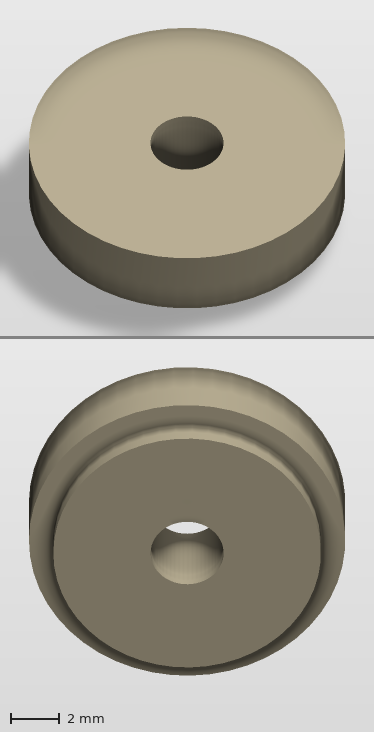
import cadquery as cq

disc_diameter = 13.0
disc_height = 3.0
spigot_diameter = 11.0
spigot_height = 1.0
bore_diameter = 3.0
root_fillet_radius = 0.1

total_height = spigot_height + disc_height

spigot = cq.Workplane("XY").circle(spigot_diameter / 2).extrude(spigot_height)
disc = (
    cq.Workplane("XY")
    .workplane(offset=spigot_height)
    .circle(disc_diameter / 2)
    .extrude(disc_height)
)
body = spigot.union(disc)

root_edge = cq.selectors.RadiusNthSelector(0)
body = body.edges(cq.selectors.BoxSelector(
    (-disc_diameter, -disc_diameter, spigot_height - root_fillet_radius),
    (disc_diameter, disc_diameter, spigot_height + root_fillet_radius),
)).edges(root_edge).fillet(root_fillet_radius)

bore = cq.Workplane("XY").circle(bore_diameter / 2).extrude(total_height)
result = body.cut(bore)